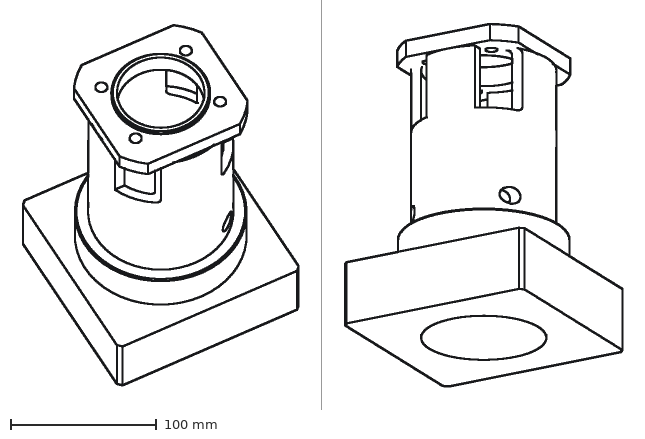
import cadquery as cq

total_height = 210.0
base_top = 45.0
collar_top = 73.0
flange_bottom = 196.0
flange_top = 208.0

base_width = 142.0
base_corner_chamfer = 3.0

collar_diameter = 118.0
collar_chamfer = 1.0
tube_diameter = 100.0
tube_bore = 86.0
rim_diameter = 68.0
rim_bore = 60.0
rim_chamfer = 1.0

flange_length_x = 96.0
flange_length_y = tube_diameter
flange_corner_diameter = 120.0
bolt_hole_diameter = 8.2
bolt_spacing_x = 49.5
bolt_spacing_y = 66.0

window_bottom = 150.4
window_inner_x = 19.1
window_inner_y = 23.7
window_fillet = 3.4

cross_hole_diameter = 12.0
cross_hole_y = 31.0
cross_hole_z = 87.2


def cylinder(diameter, bottom, top):
    """Upright cylinder on the part axis between two heights."""
    return cq.Workplane("XY").workplane(offset=bottom).circle(diameter / 2).extrude(top - bottom)


def make_base():
    base = cq.Workplane("XY").rect(base_width, base_width).extrude(base_top)
    return base.edges("|Z").chamfer(base_corner_chamfer)


def make_flange():
    thickness = flange_top - flange_bottom
    plate = cq.Workplane("XY").workplane(offset=flange_bottom)
    plate = plate.rect(flange_length_x, flange_length_y).extrude(thickness)
    plate = plate.intersect(cylinder(flange_corner_diameter, flange_bottom, flange_top))
    holes = (
        cq.Workplane("XY")
        .workplane(offset=flange_bottom)
        .rect(bolt_spacing_x, bolt_spacing_y, forConstruction=True)
        .vertices()
        .circle(bolt_hole_diameter / 2)
        .extrude(thickness)
    )
    return plate.cut(holes)


def make_window(x_side, y_side):
    """Corner cutter, rounded along the edges next to its Y-facing wall."""
    reach = tube_diameter / 2
    size_x = reach - window_inner_x
    size_y = reach - window_inner_y
    height = flange_bottom - window_bottom
    cutter = cq.Workplane("XY").box(size_x, size_y, height)
    inner_wall = "<Y" if y_side > 0 else ">Y"
    cutter = cutter.faces(inner_wall).edges("|X").fillet(window_fillet)
    return cutter.translate((
        x_side * (window_inner_x + size_x / 2),
        y_side * (window_inner_y + size_y / 2),
        window_bottom + height / 2,
    ))


def make_cross_hole():
    return (
        cq.Workplane("YZ")
        .center(cross_hole_y, cross_hole_z)
        .circle(cross_hole_diameter / 2)
        .extrude(tube_diameter / 2, both=True)
    )


tube = cylinder(tube_diameter, base_top, flange_bottom)
for x_side in (-1, 1):
    for y_side in (-1, 1):
        tube = tube.cut(make_window(x_side, y_side))
tube = tube.cut(make_cross_hole())

collar = cylinder(collar_diameter, base_top, collar_top).faces(">Z").edges().chamfer(collar_chamfer)
rim = cylinder(rim_diameter, flange_top, total_height).faces(">Z").edges().chamfer(rim_chamfer)

body = make_base().union(collar).union(tube).union(make_flange()).union(rim)
body = body.cut(cylinder(tube_bore, 0, flange_bottom))
result = body.cut(cylinder(rim_bore, flange_bottom, total_height))